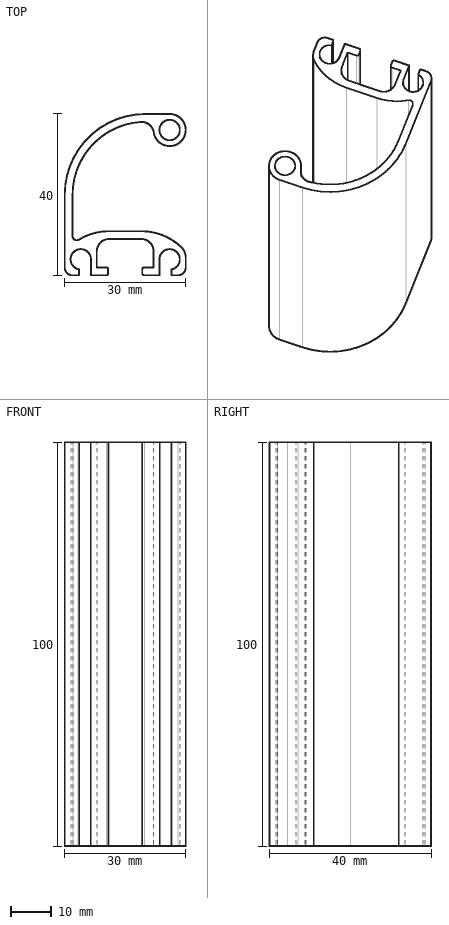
import cadquery as cq
import math

width = 30.0
depth = 40.0
length = 100.0
middle_x = width / 2

wall = 2.0
wall_radius = 20.0

bore_radius = 2.5
eye_radius = 4.0
eye_x = width - eye_radius
eye_y = depth - eye_radius
eye_blend_radius = 3.0
channel_y = eye_radius
mouth_edge = 3.6
hook_radius = 2.0

base_top = 11.0
base_flat_start = 11.0
crown_radius = 14.3
shoulder_radius = 3.5
corner_blend_radius = 1.0
slot_ceiling = base_top - wall
slot_left = 8.0
slot_corner_radius = 3.0
foot_height = 2.0
foot_tip = 10.8
foot_radius = 0.5
lip_radius = 0.3

crown_x = width - base_flat_start
crown_y = base_top - crown_radius


def polar(x, y, radius, degrees):
    """Point on a circle around (x, y)."""
    angle = math.radians(degrees)
    return (x + radius * math.cos(angle), y + radius * math.sin(angle))


def arc(sketch, x, y, radius, start, end):
    """Continue the outline along a circle from its start angle to its end angle."""
    middle = polar(x, y, radius, (start + end) / 2)
    return sketch.threePointArc(middle, polar(x, y, radius, end))


def direction(from_x, from_y, to_x, to_y):
    """Angle in degrees of the line from one point to another."""
    return math.degrees(math.atan2(to_y - from_y, to_x - from_x))


def circles_meet(x1, y1, radius1, x2, y2, radius2):
    """Where two circles cross, on the left of the line from the first centre to the second."""
    distance = math.hypot(x2 - x1, y2 - y1)
    cosine = (distance**2 + radius1**2 - radius2**2) / (2 * distance * radius1)
    return polar(x1, y1, radius1, direction(x1, y1, x2, y2) + math.degrees(math.acos(cosine)))


def outer_body():
    """Curved wall, eyelet and base, before the channels and the slot are cut."""
    arch_y = depth - wall_radius
    inner_radius = wall_radius - wall

    shoulder_x = width - shoulder_radius
    shoulder_y = crown_y + math.sqrt((crown_radius - shoulder_radius) ** 2 - (shoulder_x - crown_x) ** 2)
    shoulder_end = direction(crown_x, crown_y, shoulder_x, shoulder_y)

    corner_x = wall + corner_blend_radius
    corner_rise = math.sqrt((crown_radius + corner_blend_radius) ** 2 - (base_flat_start - corner_x) ** 2)
    corner_y = crown_y + corner_rise
    crown_end = direction(base_flat_start, crown_y, corner_x, corner_y)

    blend_x, blend_y = circles_meet(
        wall_radius, arch_y, inner_radius - eye_blend_radius,
        eye_x, eye_y, eye_radius + eye_blend_radius,
    )
    arch_end = direction(wall_radius, arch_y, blend_x, blend_y)
    blend_end = direction(blend_x, blend_y, eye_x, eye_y)

    outline = cq.Workplane("XY").moveTo(hook_radius, 0).lineTo(width - hook_radius, 0)
    outline = arc(outline, width - hook_radius, hook_radius, hook_radius, -90, 0)
    outline = outline.lineTo(width, shoulder_y)
    outline = arc(outline, shoulder_x, shoulder_y, shoulder_radius, 0, shoulder_end)
    outline = arc(outline, crown_x, crown_y, crown_radius, shoulder_end, 90)
    outline = outline.lineTo(base_flat_start, base_top)
    outline = arc(outline, base_flat_start, crown_y, crown_radius, 90, crown_end)
    outline = arc(outline, corner_x, corner_y, corner_blend_radius, crown_end - 180, -180)
    outline = outline.lineTo(wall, arch_y)
    outline = arc(outline, wall_radius, arch_y, inner_radius, 180, arch_end)
    outline = arc(outline, blend_x, blend_y, eye_blend_radius, arch_end, blend_end)
    outline = arc(outline, eye_x, eye_y, eye_radius, blend_end + 180, 450)
    outline = outline.lineTo(wall_radius, depth)
    outline = arc(outline, wall_radius, arch_y, wall_radius, 90, 180)
    outline = outline.lineTo(0, hook_radius)
    outline = arc(outline, hook_radius, hook_radius, hook_radius, 180, 270)
    return outline.close().extrude(length)


def block(left, right, bottom, top):
    """Full-length block between two X and two Y positions."""
    return cq.Workplane("XY").box(right - left, top - bottom, length, centered=False).translate((left, bottom, 0))


def bore(x, y):
    return cq.Workplane("XY").center(x, y).circle(bore_radius).extrude(length)


def left_channel():
    """Round screw channel whose mouth opens downward along the slot web."""
    mouth = block(mouth_edge, eye_radius + bore_radius, 0, channel_y)
    return bore(eye_radius, channel_y).union(mouth)


def t_slot():
    cavity = block(slot_left, width - slot_left, foot_height, slot_ceiling)
    cavity = cavity.edges("|Z and >Y").fillet(slot_corner_radius)
    return cavity.union(block(foot_tip, width - foot_tip, 0, foot_height))


def round_lips(body):
    """Round the free corners of the slot feet and the outer corners of the channel mouths."""
    corners = [
        (mouth_edge, 0, lip_radius),
        (foot_tip, 0, foot_radius),
        (foot_tip, foot_height, foot_radius),
    ]
    for x, y, radius in corners:
        for corner_x in (x, width - x):
            edge = cq.selectors.NearestToPointSelector((corner_x, y, length / 2))
            body = body.edges("|Z").edges(edge).fillet(radius)
    return body


channel = left_channel()
mirrored_channel = channel.mirror("YZ", (middle_x, 0, 0))
result = outer_body().cut(channel).cut(mirrored_channel).cut(t_slot()).cut(bore(eye_x, eye_y))
result = round_lips(result)